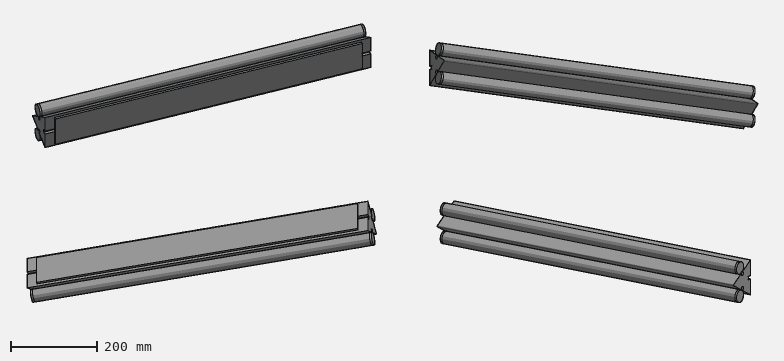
import cadquery as cq
import math

length = 822.0
overall_width = 78.91
overall_height = 98.82
flank_angle = 30.0
nose_radius = 1.0
slot_width = 8.0
slot_depth = 8.0
plate_thickness = 6.0
plate_height = 72.0
plate_length = 774.0
rod_radius = 15.0
cap_thickness = 5.0
bead_radius = 4.5
bead_distance = 19.0
neck_width = 5.0

slope = math.tan(math.radians(flank_angle))
apex_x = nose_radius - nose_radius / math.sin(math.radians(flank_angle))
base_x = overall_width - plate_thickness
base_half_height = (base_x - apex_x) * slope
rod_length = length - 2 * cap_thickness

rod_z = overall_height / 2 - rod_radius
rod_x = apex_x + (rod_z - rod_radius / math.cos(math.radians(flank_angle))) / slope


def cylinder(x, z, radius, start, depth):
    """Cylinder along +Y that begins at Y = start."""
    return cq.Workplane("XZ", origin=(x, start, z)).circle(radius).extrude(-depth)


def block(width, depth, height, corner_x, start):
    """Box from X = corner_x and Y = start, centred on Z = 0."""
    return (
        cq.Workplane("XY", origin=(corner_x, start, 0))
        .box(width, depth, height, centered=(False, False, True))
    )


def lower_copy(body):
    return body.mirror("XY")


def keyed_rod(start, depth):
    """Upper round rod with a neck and a bead that key it into the flank."""
    round_bar = cylinder(rod_x, rod_z, rod_radius, start, depth)
    key = block(bead_distance, depth, neck_width, 0, start)
    key = key.union(cylinder(bead_distance, 0, bead_radius, start, depth))
    key = (
        key.rotate((0, 0, 0), (0, 1, 0), 90 - flank_angle)
        .translate((rod_x, 0, rod_z))
    )
    return round_bar.union(key)


def make_prism():
    """Triangular bar with a slotted base and a keyway along each flank."""
    outline = [(apex_x, 0), (base_x, base_half_height), (base_x, -base_half_height)]
    body = cq.Workplane("XZ").polyline(outline).close().extrude(-length)
    body = body.edges("<X").fillet(nose_radius)
    body = body.cut(block(slot_depth, length, slot_width, base_x - slot_depth, 0))
    keyway = keyed_rod(0, length)
    return body.cut(keyway).cut(lower_copy(keyway))


def make_base_plate():
    """Flat plate centred along the base of the prism."""
    return block(plate_thickness, plate_length, plate_height, base_x, (length - plate_length) / 2)


prism = make_prism()
base_plate = make_base_plate()

upper_rod = keyed_rod(cap_thickness, rod_length)
rods = [upper_rod, lower_copy(upper_rod)]

end_caps = []
for cap_start in (0, length - cap_thickness):
    upper_cap = keyed_rod(cap_start, cap_thickness)
    end_caps += [upper_cap, lower_copy(upper_cap)]

bodies = [prism, base_plate, *rods, *end_caps]
result = cq.Compound.makeCompound([body.solids().val() for body in bodies])